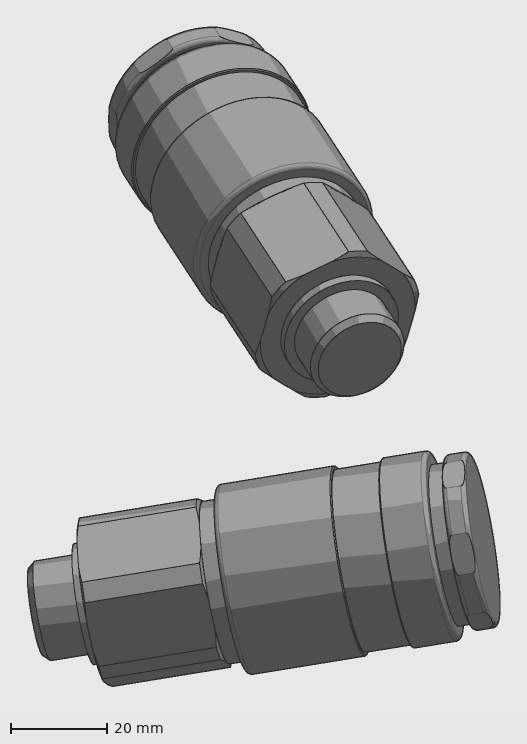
import cadquery as cq

ring_end = 5.0
sleeve_start = 8.0
band_start = 18.0
band_end = 28.0
sleeve_end = 53.0
hex_start = 56.5
hex_end = 82.4
collar_end = 84.4
total_length = 94.55

ring_diameter = 37.0
front_neck_diameter = 34.0
rear_neck_diameter = 34.2
sleeve_diameter = 40.0
band_diameter = 38.5
hex_corner_diameter = 37.0
hex_chamfer_diameter = 34.6
collar_diameter = 25.5
spigot_diameter = 20.95

ring_across_flats = 36.0
ring_flat_angle = 0.0
hex_across_flats = 34.0
hex_flat_angle = 45.0
flat_count = 6

ring_fillet = 1.0
sleeve_fillet = 1.0
band_chamfer = 0.25
hex_chamfer_length = 0.5
spigot_chamfer_length = 1.4
spigot_chamfer_depth = 1.2


def cylinder(start, end, diameter):
    """Round section along X between two stations."""
    return cq.Workplane("YZ", origin=(start, 0, 0)).circle(diameter / 2).extrude(end - start)


def hex_prism(start, end, across_flats, flat_angle):
    """Hexagonal prism along X with one flat facing flat_angle."""
    prism = (
        cq.Workplane("YZ", origin=(start, 0, 0))
        .polygon(flat_count, across_flats, circumscribed=True)
        .extrude(end - start)
    )
    return prism.rotate((0, 0, 0), (1, 0, 0), flat_angle)


def make_end_ring():
    """Rounded ring with six shallow wrench flats."""
    ring = cylinder(0, ring_end, ring_diameter).edges().fillet(ring_fillet)
    return ring.intersect(hex_prism(0, ring_end, ring_across_flats, ring_flat_angle))


def make_sleeve():
    """Grip sleeve with rounded ends and a recessed band around it."""
    front_grip = cylinder(sleeve_start, band_start, sleeve_diameter)
    rear_grip = cylinder(band_end, sleeve_end, sleeve_diameter)
    front_grip = front_grip.edges("<X").fillet(sleeve_fillet).edges(">X").chamfer(band_chamfer)
    rear_grip = rear_grip.edges(">X").fillet(sleeve_fillet).edges("<X").chamfer(band_chamfer)
    band = cylinder(band_start, band_end, band_diameter)
    return front_grip.union(band).union(rear_grip)


def make_hex_body():
    """Hexagonal body with turned corners and a chamfer at both ends."""
    chamfer_depth = (hex_corner_diameter - hex_chamfer_diameter) / 2
    blank = (
        cylinder(hex_start, hex_end, hex_corner_diameter)
        .faces("<X or >X")
        .chamfer(hex_chamfer_length, chamfer_depth)
    )
    return blank.intersect(hex_prism(hex_start, hex_end, hex_across_flats, hex_flat_angle))


def make_spigot():
    """Connection spigot with a chamfered tip."""
    tip_start = total_length - spigot_chamfer_length
    tip_diameter = spigot_diameter - 2 * spigot_chamfer_depth
    tip = (
        cq.Workplane("YZ", origin=(tip_start, 0, 0))
        .circle(spigot_diameter / 2)
        .workplane(offset=spigot_chamfer_length)
        .circle(tip_diameter / 2)
        .loft()
    )
    return cylinder(hex_end, tip_start, spigot_diameter).union(tip)


front_neck = cylinder(ring_end, sleeve_start, front_neck_diameter)
rear_neck = cylinder(sleeve_end, hex_start, rear_neck_diameter)
collar = cylinder(hex_end, collar_end, collar_diameter)

result = (
    make_end_ring()
    .union(front_neck)
    .union(make_sleeve())
    .union(rear_neck)
    .union(make_hex_body())
    .union(collar)
    .union(make_spigot())
)